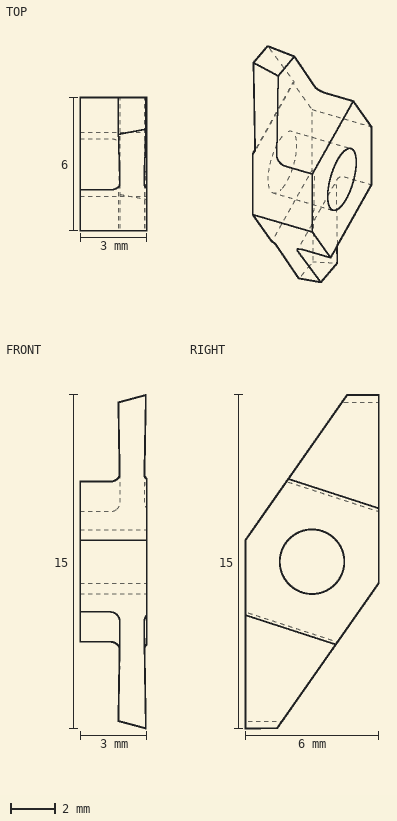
import cadquery as cq
import math

thickness = 3.0
width = 6.0
length = 15.0

tip_width = 1.42
flank_angle = math.radians(35.0)
hole_diameter = 2.9

step_angle = math.radians(18.0)
step_distance = 3.08
fillet_radius = 0.44
front_wall_depth = 1.35
back_step_depth = 0.12
blade_flare = math.radians(1.0)
relief_angle = math.radians(15.0)

half_width = width / 2
half_length = length / 2

root_distance = step_distance + fillet_radius
blade_reach = half_width * math.sin(step_angle) + half_length * math.cos(step_angle)
front_center_x = front_wall_depth
back_center_x = thickness - back_step_depth + fillet_radius


def front_fillet_point(angle):
    return (
        front_center_x + fillet_radius * math.cos(angle),
        root_distance + fillet_radius * math.sin(angle),
    )


def back_fillet_point(angle):
    return (
        back_center_x - fillet_radius * math.cos(angle),
        root_distance + fillet_radius * math.sin(angle),
    )


def blade_rise(root_point):
    """Sideways flare of a blade face between its root and its farthest corner."""
    return (blade_reach - root_point[1]) * math.tan(blade_flare)


front_root = front_fillet_point(blade_flare)
back_root = back_fillet_point(blade_flare)
front_tip_x = front_root[0] - blade_rise(front_root)
back_tip_x = back_root[0] + blade_rise(back_root)


def make_outline():
    """Six-sided blank, extruded through the thickness, with the central hole."""
    flank_drop = (width - tip_width) / math.tan(flank_angle)
    shoulder_z = half_length - flank_drop
    upper_points = [
        (-half_width, shoulder_z),
        (half_width - tip_width, half_length),
        (half_width, half_length),
    ]
    lower_points = [(-y, -z) for y, z in upper_points]
    return (
        cq.Workplane("YZ")
        .polyline(upper_points + lower_points)
        .close()
        .circle(hole_diameter / 2)
        .extrude(thickness)
    )


def make_half_section():
    """Block and one blade, as a section swept along the step line."""
    back_end_angle = -math.acos((back_center_x - thickness) / fillet_radius)
    front_mid_angle = (blade_flare - math.pi / 2) / 2
    back_mid_angle = (blade_flare + back_end_angle) / 2
    section_plane = cq.Plane(
        origin=(0, 0, 0),
        xDir=(1, 0, 0),
        normal=(0, -math.cos(step_angle), math.sin(step_angle)),
    )
    return (
        cq.Workplane(section_plane)
        .moveTo(0, 0)
        .lineTo(0, step_distance)
        .lineTo(front_wall_depth, step_distance)
        .threePointArc(front_fillet_point(front_mid_angle), front_root)
        .lineTo(front_tip_x, blade_reach)
        .lineTo(back_tip_x, blade_reach)
        .lineTo(*back_root)
        .threePointArc(back_fillet_point(back_mid_angle), back_fillet_point(back_end_angle))
        .lineTo(thickness, 0)
        .close()
        .extrude(length, both=True)
    )


def make_relief_envelope():
    """Prism whose ends slope back from the cutting edge for clearance."""
    front_z = half_length - back_tip_x * math.tan(relief_angle)
    upper_points = [(0, front_z), (back_tip_x, half_length), (thickness, half_length)]
    lower_points = [(x, -z) for x, z in reversed(upper_points)]
    return (
        cq.Workplane("XZ")
        .polyline(upper_points + lower_points)
        .close()
        .extrude(width, both=True)
    )


upper_half = make_half_section()
lower_half = upper_half.rotate((0, 0, 0), (1, 0, 0), 180)
stepped_bar = upper_half.union(lower_half)

result = make_outline().intersect(stepped_bar).intersect(make_relief_envelope()).clean()